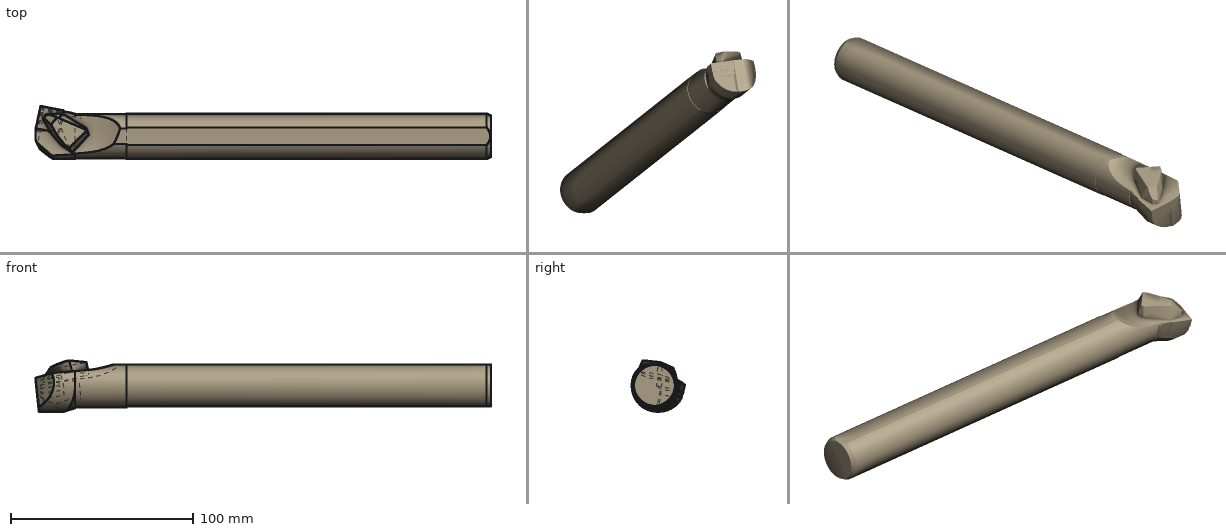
import cadquery as cq
import math

length = 249.8
bar_radius = 12.5
neck_end = 50.0
neck_radius = 12.2
flat_height = 11.5
end_chamfer_length = 2.5
end_chamfer_depth = 1.2

head_radius = 14.5
head_offset = head_radius - bar_radius
head_start = -2.5
head_end = 21.7
head_taper_angle = 18.0

rake_height = 3.5
rake_roll = 12.0
rake_pitch = 6.0

insert_side = 12.7
insert_thickness = 4.7
insert_turn = -11.0
tip_u = 2.5
tip_v = 17.0
pad_thickness = 3.0
pad_inset = 0.2
flank_inset = 0.5
nose_step_width = 1.0

nose_round_start = -1.0
nose_radius = 4.0
nose_turn = 49.0
nose_chamfer_length = 30.0

pocket_u = 7.5
pocket_v = 1.0
pocket_floor_radius = 23.0
pocket_runout_radius = 37.5
pocket_runout_angle = 50.0

clamp_height = 6.7
clamp_foot = [
    (3.7, 10.0), (6.0, 12.5), (14.7, 12.7), (28.0, 4.5),
    (29.5, 1.0), (20.5, -9.2), (14.2, -4.7), (9.0, 1.2),
]
clamp_top = [
    (6.0, 10.2), (8.0, 10.2), (13.5, 8.7), (28.0, 2.5),
    (28.7, 1.5), (19.5, -8.0), (17.0, -6.2), (13.0, -1.2),
]
clamp_tip_height = 1.7
clamp_slope_length = 7.2
clamp_slope_turn = -40.0

reach = 100.0

roll = math.radians(rake_roll)
pitch = math.radians(rake_pitch)
nose_lean = -nose_round_start * math.sin(pitch) * math.sin(roll)
rake_plane = cq.Plane(
    origin=(nose_lean, 0, rake_height),
    xDir=(math.cos(pitch), 0, math.sin(pitch)),
    normal=(-math.sin(pitch) * math.cos(roll), math.sin(roll), math.cos(pitch) * math.cos(roll)),
)


def on_rake(height=0.0):
    """Workplane parallel to the rake plane, at a height above it."""
    return cq.Workplane(rake_plane).workplane(offset=height)


def insert_corner(along, across):
    """Point in the rake frame, measured from the insert tip along its two edges."""
    turn = math.radians(insert_turn)
    u = tip_u + along * math.cos(turn) + across * math.sin(turn)
    v = tip_v + along * math.sin(turn) - across * math.cos(turn)
    return u, v


def insert_block(inset, top, thickness):
    """Square block under the insert outline, shrunk by an inset on every side."""
    near = inset
    far = insert_side - inset
    corners = [(near, near), (far, near), (far, far), (near, far)]
    points = [insert_corner(*corner) for corner in corners]
    return on_rake(top).polyline(points).close().extrude(-thickness)


def make_neck():
    """Round neck and upper head, with one flat along the top."""
    neck_length = neck_end - head_start
    end_plane = cq.Workplane("YZ", origin=(head_start, 0, 0))
    below_flat = end_plane.center(0, flat_height - reach / 2).rect(reach, reach).extrude(neck_length)
    return end_plane.circle(neck_radius).extrude(neck_length).intersect(below_flat)


def make_shank():
    """Clamping shank with a flat top and bottom and a chamfered end."""
    turned = (
        cq.Workplane("XY")
        .moveTo(neck_end, 0)
        .lineTo(length, 0)
        .lineTo(length, bar_radius - end_chamfer_depth)
        .lineTo(length - end_chamfer_length, bar_radius)
        .lineTo(neck_end, bar_radius)
        .close()
        .revolve(360, (0, 0, 0), (1, 0, 0))
    )
    flats = (
        cq.Workplane("YZ", origin=(neck_end, 0, 0))
        .rect(reach, 2 * flat_height)
        .extrude(length - neck_end)
    )
    return turned.intersect(flats)


def make_swell():
    """Swollen head, with the plain bar radius over its upper -Y quarter."""
    swell_length = head_end - head_start
    end_plane = cq.Workplane("YZ", origin=(head_start, 0, 0))
    swell = end_plane.center(head_offset, 0).circle(head_radius).extrude(swell_length)
    upper_quarter = cq.Workplane("XY").box(reach, reach, reach, centered=(True, False, False))
    upper_quarter = upper_quarter.translate((0, -reach, 0))
    bar = end_plane.circle(bar_radius).extrude(swell_length)
    swell = swell.cut(upper_quarter).union(bar.intersect(upper_quarter))

    cone_start_radius = bar_radius + swell_length * math.tan(math.radians(head_taper_angle))
    cone = (
        cq.Workplane("XY")
        .moveTo(head_start, 0)
        .lineTo(head_end, 0)
        .lineTo(head_end, bar_radius)
        .lineTo(head_start, cone_start_radius)
        .close()
        .revolve(360, (0, 0, 0), (1, 0, 0))
    )
    return swell.intersect(cone)


def make_head_outline():
    """Prism square to the rake plane that trims the flanks and the nose."""
    turn = math.radians(nose_turn)
    half_turn = turn / 2
    round_mid = (
        nose_radius * (1 - math.cos(half_turn)),
        nose_round_start - nose_radius * math.sin(half_turn),
    )
    round_end = (
        nose_radius * (1 - math.cos(turn)),
        nose_round_start - nose_radius * math.sin(turn),
    )
    chamfer_end = (
        round_end[0] + nose_chamfer_length * math.sin(turn),
        round_end[1] - nose_chamfer_length * math.cos(turn),
    )
    seam_v = insert_corner(0, insert_side)[1]
    return (
        on_rake(-reach / 2)
        .moveTo(*insert_corner(flank_inset, flank_inset))
        .lineTo(*insert_corner(flank_inset, insert_side - nose_step_width))
        .lineTo(0, seam_v)
        .lineTo(0, nose_round_start)
        .threePointArc(round_mid, round_end)
        .lineTo(*chamfer_end)
        .lineTo(reach, chamfer_end[1])
        .lineTo(reach, reach)
        .lineTo(head_end, reach)
        .lineTo(*insert_corner(head_end, flank_inset))
        .close()
        .extrude(reach)
    )


def make_pocket():
    """Flat round pocket whose rim curves up and out, above the rake plane."""
    angle = math.radians(pocket_runout_angle)

    def runout(part):
        return (
            pocket_floor_radius + pocket_runout_radius * math.sin(part * angle),
            pocket_runout_radius * (1 - math.cos(part * angle)),
        )

    profile_plane = cq.Plane(
        origin=rake_plane.toWorldCoords((pocket_u, pocket_v, 0)).toTuple(),
        xDir=rake_plane.xDir.toTuple(),
        normal=(-rake_plane.yDir).toTuple(),
    )
    return (
        cq.Workplane(profile_plane)
        .lineTo(pocket_floor_radius, 0)
        .threePointArc(runout(0.5), runout(1))
        .lineTo(0, runout(1)[1])
        .close()
        .revolve(360, (0, 0, 0), (0, 1, 0))
    )


def make_clamp():
    """Raised clamp with a sloped tip and walls that lean inwards."""
    clamp = (
        on_rake()
        .polyline(clamp_foot)
        .close()
        .workplane(offset=clamp_height)
        .polyline(clamp_top)
        .close()
        .loft(ruled=True)
    )
    slope_turn = math.radians(clamp_slope_turn)
    along_slope = rake_plane.xDir * math.cos(slope_turn) + rake_plane.yDir * math.sin(slope_turn)
    slope_plane = cq.Plane(
        origin=rake_plane.toWorldCoords(clamp_foot[0]).toTuple(),
        xDir=along_slope.toTuple(),
        normal=along_slope.cross(rake_plane.zDir).toTuple(),
    )
    slope_rise = clamp_height - clamp_tip_height
    above_slope = (
        cq.Workplane(slope_plane)
        .polyline([
            (-clamp_slope_length, clamp_tip_height - slope_rise),
            (clamp_slope_length, clamp_height),
            (-clamp_slope_length, clamp_height),
        ])
        .close()
        .extrude(reach, both=True)
    )
    return clamp.cut(above_slope)


def make_holder():
    """Bar, head, insert seat and clamp in one piece."""
    insert_pocket = insert_block(0, 0, insert_thickness)
    pad = insert_block(pad_inset, -insert_thickness, pad_thickness)
    head = make_neck().union(make_swell())
    head = head.intersect(make_head_outline()).cut(make_pocket())
    head = head.union(pad).cut(insert_pocket)
    return head.union(make_shank()).union(make_clamp())


insert = insert_block(0, 0, insert_thickness)
holder = make_holder()

result = cq.Compound.makeCompound([holder.val(), insert.val()])